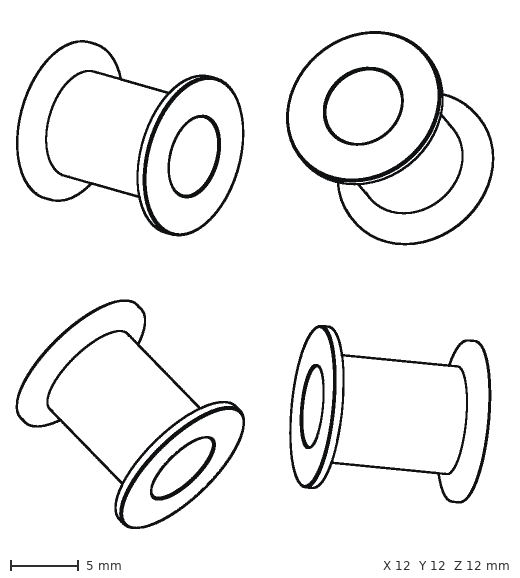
import cadquery as cq
import math

length = 12.0
flange_diameter = 12.0
barrel_diameter = 8.0
bore_diameter = 6.0
flange_root_width = 1.25
cone_angle = 15.0
rim_fillet = 0.15
edge_chamfer = 0.1

flange_radius = flange_diameter / 2
barrel_radius = barrel_diameter / 2
bore_radius = bore_diameter / 2
half_length = length / 2
root_x = half_length - flange_root_width
cone_run = (flange_radius - barrel_radius) * math.tan(math.radians(cone_angle))
rim_x = root_x + cone_run


fillet_turn = math.radians(90 - cone_angle)
fillet_setback = rim_fillet * math.tan(fillet_turn / 2)
fillet_start_x = rim_x + fillet_setback
fillet_end_x = rim_x - fillet_setback * math.sin(math.radians(cone_angle))
fillet_end_radius = flange_radius - fillet_setback * math.cos(math.radians(cone_angle))
fillet_mid_x = fillet_start_x - rim_fillet * math.sin(fillet_turn / 2)
fillet_mid_radius = flange_radius - rim_fillet * (1 - math.cos(fillet_turn / 2))


def spool_body():
    """Solid barrel with a conical-backed flange at each end."""
    return (
        cq.Workplane("XY")
        .moveTo(-half_length, 0)
        .lineTo(-half_length, flange_radius)
        .lineTo(-fillet_start_x, flange_radius)
        .threePointArc((-fillet_mid_x, fillet_mid_radius), (-fillet_end_x, fillet_end_radius))
        .lineTo(-root_x, barrel_radius)
        .lineTo(root_x, barrel_radius)
        .lineTo(fillet_end_x, fillet_end_radius)
        .threePointArc((fillet_mid_x, fillet_mid_radius), (fillet_start_x, flange_radius))
        .lineTo(half_length, flange_radius)
        .lineTo(half_length, 0)
        .close()
        .revolve(360, (0, 0, 0), (1, 0, 0))
    )


bore = cq.Workplane("YZ").circle(bore_radius).extrude(half_length, both=True)
bushing = spool_body().cut(bore)

result = bushing.faces("<X or >X").edges().chamfer(edge_chamfer)